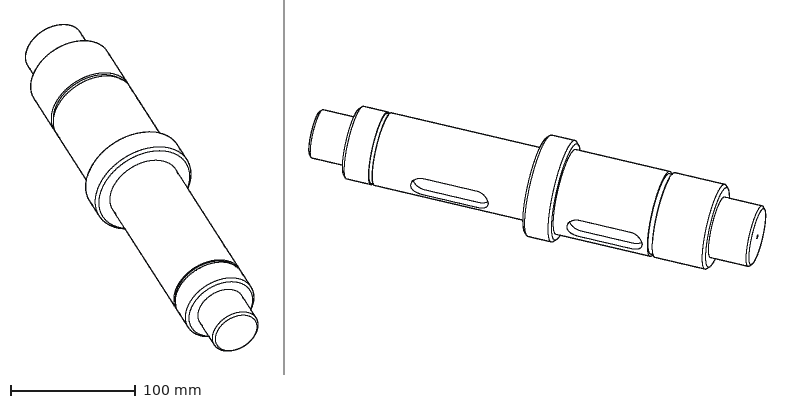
import cadquery as cq

total_length = 371.0
journal_start = 33.5
flange_start = 160.5
flange_end = 184.8
shaft_end = 340.0

left_stub_diameter = 50.0
journal_diameter = 70.0
flange_diameter = 84.0
shaft_diameter = 60.0
right_stub_diameter = 40.0

chamfer = 2.2
stub_chamfer = 2.0

journal_groove_start = 77.5
journal_groove_width = 4.0
journal_groove_depth = 2.0
shaft_groove_start = 314.2
shaft_groove_width = 3.0
shaft_groove_depth = 1.0

journal_key_center = 117.5
journal_key_length = 63.0
journal_key_width = 20.0
journal_key_depth = 7.5
shaft_key_center = 249.3
shaft_key_length = 65.0
shaft_key_width = 20.0
shaft_key_depth = 7.0

center_hole_diameter = 3.0
center_hole_depth = 6.0


def cylinder(start, end, diameter):
    """Solid cylinder on the X axis between two X positions."""
    return cq.Workplane("YZ", origin=(start, 0, 0)).circle(diameter / 2).extrude(end - start)


def ring_groove(start, width, diameter, depth):
    """Ring to cut from a section of the given diameter."""
    end = start + width
    return cylinder(start, end, diameter + depth).cut(cylinder(start, end, diameter - 2 * depth))


def keyway(center, length, width, diameter, depth):
    """Round-ended slot to cut inward from the +Y side of a section."""
    floor = diameter / 2 - depth
    return (
        cq.Workplane("XZ", origin=(center, floor, 0))
        .slot2D(length, width)
        .extrude(-2 * depth)
    )


left_stub = cylinder(0, journal_start, left_stub_diameter).faces("<X").chamfer(stub_chamfer)
journal = cylinder(journal_start, flange_start, journal_diameter).faces("<X").chamfer(chamfer)
flange = cylinder(flange_start, flange_end, flange_diameter).faces("<X or >X").chamfer(chamfer)
shaft = cylinder(flange_end, shaft_end, shaft_diameter).faces(">X").chamfer(chamfer)
right_stub = cylinder(shaft_end, total_length, right_stub_diameter).faces(">X").chamfer(stub_chamfer)
body = left_stub.union(journal).union(flange).union(shaft).union(right_stub)

body = body.cut(
    ring_groove(journal_groove_start, journal_groove_width, journal_diameter, journal_groove_depth)
)
body = body.cut(ring_groove(shaft_groove_start, shaft_groove_width, shaft_diameter, shaft_groove_depth))

body = body.cut(
    keyway(journal_key_center, journal_key_length, journal_key_width, journal_diameter, journal_key_depth)
)
body = body.cut(
    keyway(shaft_key_center, shaft_key_length, shaft_key_width, shaft_diameter, shaft_key_depth)
)

result = body.cut(cylinder(0, center_hole_depth, center_hole_diameter))